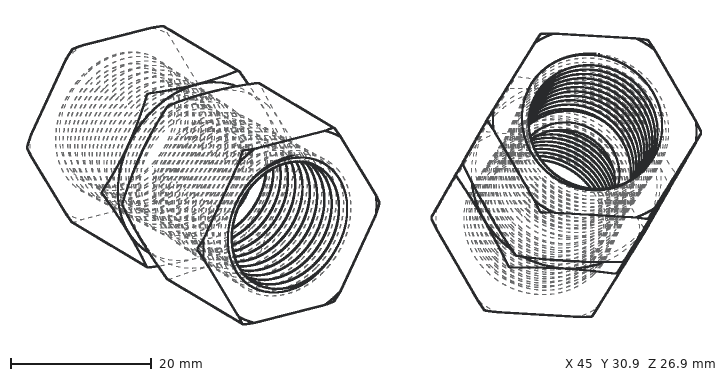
import cadquery as cq
import math

LENGTH = 45.0
HEX_SIDES = 6
ACROSS_FLATS = 26.9
CORNER_RADIUS = 0.5
COLLAR_WIDTH = 3.38
COLLAR_DIAMETER = 26.85

BEVEL_ANGLE = 25.0
END_FACE_RADIUS = 14.7

THREAD_TURNS = 11.5
THREAD_DEPTH = 1.4
FLANK_ANGLE = 30.0
MOUTH_CREST_RADIUS = 9.45
TAPER = 1 / 32
START_ANGLE = 40.0
PASSAGE_DIAMETER = 14.75
GROOVE_OVERLAP = 0.035
SEAM_ANGLE = 100.0

HEX_LENGTH = (LENGTH - COLLAR_WIDTH) / 2
PITCH = HEX_LENGTH / THREAD_TURNS
OVERRUN = 5 * PITCH


def bevel_envelope():
    """Turned solid about Z whose cones trim both ends of a hexagon."""
    slope = math.tan(math.radians(BEVEL_ANGLE))
    collar_radius = COLLAR_DIAMETER / 2
    outer_radius = ACROSS_FLATS
    profile = (
        cq.Workplane("XZ")
        .polyline([
            (0, 0),
            (collar_radius, 0),
            (outer_radius, (outer_radius - collar_radius) * slope),
            (outer_radius, HEX_LENGTH - (outer_radius - END_FACE_RADIUS) * slope),
            (END_FACE_RADIUS, HEX_LENGTH),
            (0, HEX_LENGTH),
        ])
        .close()
    )
    return profile.revolve(360, (0, 0, 0), (0, 1, 0))


def hexagon():
    """Bevelled hexagon standing on Z, with flats facing +X and -X."""
    across_corners = ACROSS_FLATS / math.cos(math.pi / HEX_SIDES)
    prism = (
        cq.Workplane("XY")
        .polygon(HEX_SIDES, across_corners)
        .extrude(HEX_LENGTH)
        .rotate((0, 0, 0), (0, 0, 1), 180 / HEX_SIDES)
        .edges("|Z")
        .fillet(CORNER_RADIUS)
    )
    return prism.intersect(bevel_envelope())


def crest_radius(z):
    """Radius of the thread crests at height z, with the mouth at HEX_LENGTH."""
    return MOUTH_CREST_RADIUS - (HEX_LENGTH - z) * TAPER


def tapered_bore():
    """Cone through the thread crests, passing both ends of the hexagon."""
    bottom = -OVERRUN
    top = HEX_LENGTH + OVERRUN
    cone = cq.Solid.makeCone(
        crest_radius(bottom), crest_radius(top), top - bottom, pnt=cq.Vector(0, 0, bottom)
    )
    return cq.Workplane(cone).rotate((0, 0, 0), (0, 0, 1), SEAM_ANGLE)


def thread_groove():
    """Helical groove that runs one turn past both ends of the hexagon."""
    start_z = -PITCH
    start_radius = crest_radius(start_z)
    helix = cq.Wire.makeHelix(
        PITCH,
        HEX_LENGTH + 2 * PITCH,
        start_radius,
        center=cq.Vector(0, 0, start_z),
        angle=math.degrees(math.atan(TAPER)),
    )

    flank_slope = math.tan(math.radians(FLANK_ANGLE))
    half_root = PITCH / 4 - THREAD_DEPTH * flank_slope / 2
    half_mouth = half_root + (THREAD_DEPTH + GROOVE_OVERLAP) * flank_slope
    inner_radius = start_radius - GROOVE_OVERLAP
    root_radius = start_radius + THREAD_DEPTH
    section = (
        cq.Workplane("XZ")
        .polyline([
            (inner_radius, start_z - half_mouth),
            (root_radius, start_z - half_root),
            (root_radius, start_z + half_root),
            (inner_radius, start_z + half_mouth),
        ])
        .close()
    )
    return section.sweep(cq.Workplane(helix), isFrenet=True)


def threaded_end():
    """One hexagon with its thread, laid along +X beside the collar."""
    plain_end = hexagon().rotate((0, 0, 0), (0, 0, 1), -START_ANGLE)
    end = plain_end.cut(tapered_bore()).cut(thread_groove())
    end = end.rotate((0, 0, 0), (0, 0, 1), START_ANGLE)
    return end.rotate((0, 0, 0), (0, 1, 0), 90).translate((COLLAR_WIDTH / 2, 0, 0))


def collar():
    """Round collar with the passage through it."""
    ring = cq.Workplane("YZ").circle(COLLAR_DIAMETER / 2).circle(PASSAGE_DIAMETER / 2)
    return ring.extrude(COLLAR_WIDTH / 2, both=True)


right_end = threaded_end()
left_end = right_end.rotate((0, 0, 0), (0, 0, 1), 180)
result = collar().union(right_end).union(left_end)